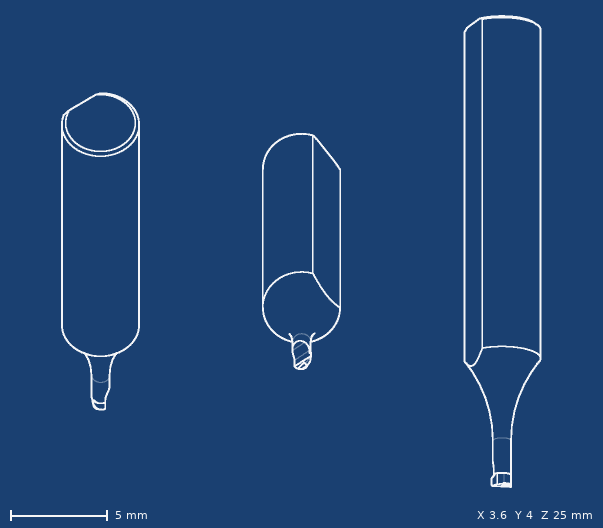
import cadquery as cq
import math

total_length = 25.0
shank_radius = 2.0
shank_width = 3.6
shank_base_z = 7.0
end_chamfer_radial = 0.2
end_chamfer_axial = 0.15

neck_radius = 0.47
neck_top_z = 2.55
neck_base_z = 0.65

rake_y = -0.02
cut_start_z = 1.65
cut_slope_deg = 37.0
cut_fillet_radius = 0.75

tip_reach = 0.6
tip_back_radius = 0.4
tip_heel = (-0.37, -0.262)
tip_back_x = -0.07
cutting_corner_x = -0.55
shoulder_top_z = 0.57
shoulder_base_z = 0.4
edge_base_z = 0.07
tip_heel_z = 0.07
back_relief_z = 0.12


def make_turned_body():
    """Shank, flare and neck, revolved about Z."""
    flare_height = shank_base_z - neck_top_z
    flare_depth = shank_radius - neck_radius
    flare_radius = (flare_height**2 + flare_depth**2) / (2 * flare_depth)
    half_angle = math.asin(flare_height / flare_radius) / 2
    flare_mid = (
        neck_radius + flare_radius * (1 - math.cos(half_angle)),
        neck_top_z + flare_radius * math.sin(half_angle),
    )
    return (
        cq.Workplane("XZ")
        .moveTo(0, neck_base_z)
        .lineTo(neck_radius, neck_base_z)
        .lineTo(neck_radius, neck_top_z)
        .threePointArc(flare_mid, (shank_radius, shank_base_z))
        .lineTo(shank_radius, total_length - end_chamfer_axial)
        .lineTo(shank_radius - end_chamfer_radial, total_length)
        .lineTo(0, total_length)
        .close()
        .revolve(360, (0, 0, 0), (0, 1, 0))
    )


def cut_flat(body):
    """Keep only the material on the +X side of the clamping flat."""
    keep = cq.Workplane("XY").box(
        shank_width, 2 * shank_radius, total_length, centered=(False, True, False)
    )
    return body.intersect(keep.translate((shank_radius - shank_width, 0, 0)))


def make_front_cut():
    """Clearance on the +Y side: a slope blended by an arc into the rake face."""
    slope = math.radians(cut_slope_deg)
    tangent_length = cut_fillet_radius * math.tan((math.pi / 2 - slope) / 2)
    corner_z = cut_start_z - (neck_radius - rake_y) * math.tan(slope)
    cut_end_y = shank_radius
    cut_end_z = corner_z + (cut_end_y - rake_y) * math.tan(slope)
    arc_start = (
        rake_y + tangent_length * math.cos(slope),
        corner_z + tangent_length * math.sin(slope),
    )
    mid_angle = (math.pi / 2 - slope) / 2
    arc_mid = (
        rake_y + cut_fillet_radius * (1 - math.cos(mid_angle)),
        corner_z - tangent_length + cut_fillet_radius * math.sin(mid_angle),
    )
    return (
        cq.Workplane("YZ")
        .moveTo(rake_y, 0)
        .lineTo(rake_y, corner_z - tangent_length)
        .threePointArc(arc_mid, arc_start)
        .lineTo(cut_end_y, cut_end_z)
        .lineTo(cut_end_y, 0)
        .close()
        .extrude(shank_radius, both=True)
    )


def make_relief_wedge(start_x, back_y, rise):
    """Waste below the tip from start_x to the +X side, rising from the rake face to back_y."""
    return (
        cq.Workplane("YZ", origin=(start_x, 0, 0))
        .moveTo(rake_y, 0)
        .lineTo(back_y, rise)
        .lineTo(back_y, 0)
        .close()
        .extrude(neck_radius - start_x)
    )


def make_tip():
    """Cutting tip: relieved plan, bounded by the edge profile and the end relief."""
    arc_centre_x = neck_radius - tip_back_radius
    tip_back_y = rake_y - math.sqrt(tip_back_radius**2 - (tip_back_x - arc_centre_x) ** 2)
    arc_offset = tip_back_radius * math.sqrt(0.5)
    plan = (
        cq.Workplane("XY")
        .moveTo(-tip_reach, rake_y)
        .lineTo(*tip_heel)
        .lineTo(tip_back_x, tip_back_y)
        .threePointArc(
            (arc_centre_x + arc_offset, rake_y - arc_offset), (neck_radius, rake_y)
        )
        .close()
        .extrude(neck_base_z)
    )
    edge_profile = (
        cq.Workplane("XZ")
        .moveTo(cutting_corner_x, 0)
        .lineTo(neck_radius, tip_heel_z)
        .lineTo(neck_radius, neck_base_z)
        .lineTo(-neck_radius, neck_base_z)
        .lineTo(-neck_radius, shoulder_top_z)
        .lineTo(-tip_reach, shoulder_base_z)
        .lineTo(-tip_reach, edge_base_z)
        .close()
        .extrude(neck_radius)
    )
    end_relief = make_relief_wedge(-tip_reach, tip_back_y, tip_heel_z)
    back_relief = make_relief_wedge(tip_back_x, tip_back_y, back_relief_z)
    return plan.intersect(edge_profile).cut(end_relief).cut(back_relief)


body = cut_flat(make_turned_body()).cut(make_front_cut())
result = body.union(make_tip())